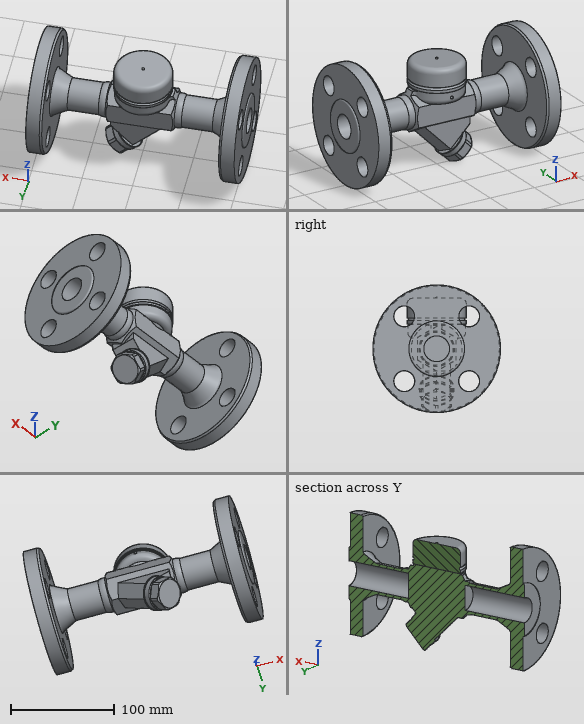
import cadquery as cq
import math


FACE_TO_FACE = 210
FLANGE_RADIUS = 124 / 2
FLANGE_THICKNESS = 15.7
FLANGE_EDGE_LENGTH = 2.2
FLANGE_EDGE_DROP = 1.2
RAISED_FACE_RADIUS = 25.4
RAISED_FACE_HEIGHT = 1.6
BOLT_HOLE_DIAMETER = 20
BOLT_COUNT = 4
BOLT_CIRCLE_RADIUS = 88.9 / 2
BORE_RADIUS = 25 / 2
PIPE_RADIUS = 32 / 2
HUB_START_X = 72
HUB_END_X = 85.6
HUB_END_RADIUS = 22.7
HUB_FILLET = 2
COLLAR_START_X = 41.2
COLLAR_PEAK_X = 37.9
COLLAR_PEAK_RADIUS = 17.2
COLLAR_END_RADIUS = 34 / 2

HEX_FLATS = 37.5
HEX_HALF_LENGTH = 34.2
CORNER_CHAMFER_ANGLE = 30

NECK_RADIUS = 56 / 2
NECK_TOP_Z = 23.6
NECK_FILLET_TOP_Z = 15.9
NECK_FILLET = 5.5
NECK_FLAT_RADIUS = 21
NECK_CONE_END_RADIUS = 15
LUG_HALF_WIDTH = 5.3
LUG_TOP_Z = 22.7
LUG_FILLET = 4
PIP_RADIUS = 3 / 2
NECK_PIP_Z = 17.8

COVER_RADIUS = 57.5 / 2
COVER_RIM_Z = 24.2
COVER_TOP_Z = 49
COVER_FILLET = 5.6
GROOVE_TOP_Z = 30
GROOVE_BOTTOM_Z = 27.2
GROOVE_DEPTH = 1.4
COVER_PIP_Z = 48.5

BRANCH_OFFSET = 17.7
BRANCH_FLATS = 26.5
BRANCH_START = -10
BRANCH_END = 36.2
WEB_END_X = 29.7
WASHER_RADIUS = 34 / 2
WASHER_END = 37.2
PLUG_COLLAR_RADIUS = 16.5
PLUG_COLLAR_END = 44.4
PLUG_COLLAR_CHAMFER = 1
PLUG_HEX_FLATS = 29
PLUG_HEX_RADIUS = 32 / 2
PLUG_TIP_RADIUS = 14
PLUG_CORNER_END = 54.04

BRANCH_OUTER_FACE = cq.DirectionMinMaxSelector(cq.Vector(1, 0, -1))
HALF_SQRT2 = math.sqrt(0.5)
CHAMFER_SLOPE = math.tan(math.radians(CORNER_CHAMFER_ANGLE))
VERTICES_PER_FLATS = 2 / math.sqrt(3)


def revolved_about_x(profile):
    return profile.close().revolve(360, (0, 0, 0), (1, 0, 0))


def revolved_about_z(profile):
    return profile.close().revolve(360, (0, 0, 0), (0, 1, 0))


def pipe_end():
    """Flange, hub, pipe and collar on the +X side, with a blind bore and bolt holes."""
    face_x = FACE_TO_FACE / 2
    front_x = face_x - RAISED_FACE_HEIGHT
    back_x = front_x - FLANGE_THICKNESS
    profile = (
        cq.Workplane("XY")
        .moveTo(0, 0)
        .lineTo(HEX_HALF_LENGTH, 0)
        .lineTo(HEX_HALF_LENGTH, COLLAR_END_RADIUS)
        .threePointArc((COLLAR_PEAK_X, COLLAR_PEAK_RADIUS), (COLLAR_START_X, PIPE_RADIUS))
        .lineTo(HUB_START_X, PIPE_RADIUS)
        .lineTo(HUB_END_X, HUB_END_RADIUS)
        .tangentArcPoint((back_x, HUB_END_RADIUS + HUB_FILLET), relative=False)
        .lineTo(back_x, FLANGE_RADIUS - FLANGE_EDGE_DROP)
        .lineTo(back_x + FLANGE_EDGE_LENGTH, FLANGE_RADIUS)
        .lineTo(front_x, FLANGE_RADIUS)
        .lineTo(front_x, RAISED_FACE_RADIUS + RAISED_FACE_HEIGHT)
        .radiusArc((face_x, RAISED_FACE_RADIUS), RAISED_FACE_HEIGHT)
        .lineTo(face_x, 0)
        .lineTo(0, 0)
    )
    bore = cq.Workplane("YZ", origin=(HEX_HALF_LENGTH, 0, 0)).circle(BORE_RADIUS).extrude(face_x)
    holes = (
        cq.Workplane("YZ", origin=(HUB_START_X, 0, 0))
        .polarArray(BOLT_CIRCLE_RADIUS, 180 / BOLT_COUNT, 360, BOLT_COUNT)
        .circle(BOLT_HOLE_DIAMETER / 2)
        .extrude(face_x)
    )
    return revolved_about_x(profile).cut(bore).cut(holes)


def lug():
    """Upright lug on the -X side, blended into the neck by a concave fillet on each side."""
    centre_y = LUG_HALF_WIDTH + LUG_FILLET
    centre_x = -math.sqrt((NECK_RADIUS + LUG_FILLET) ** 2 - centre_y**2)
    neck_share = NECK_RADIUS / (NECK_RADIUS + LUG_FILLET)
    neck_x = centre_x * neck_share
    neck_y = centre_y * neck_share
    return (
        cq.Workplane("XY")
        .moveTo(-HEX_HALF_LENGTH, -LUG_HALF_WIDTH)
        .lineTo(centre_x, -LUG_HALF_WIDTH)
        .tangentArcPoint((neck_x, -neck_y), relative=False)
        .lineTo(neck_x, neck_y)
        .radiusArc((centre_x, LUG_HALF_WIDTH), LUG_FILLET)
        .lineTo(-HEX_HALF_LENGTH, LUG_HALF_WIDTH)
        .close()
        .extrude(LUG_TOP_Z)
    )


def centre_block():
    """Hexagonal block along X with the lug, both ends trimmed by one cone."""
    block = (
        cq.Workplane(cq.Plane((-HEX_HALF_LENGTH, 0, 0), (0, 0, 1), (1, 0, 0)))
        .polygon(6, HEX_FLATS * VERTICES_PER_FLATS)
        .extrude(2 * HEX_HALF_LENGTH)
        .union(lug())
    )
    trim_radius = HEX_FLATS
    trim_x = HEX_HALF_LENGTH - (trim_radius - COLLAR_END_RADIUS) * CHAMFER_SLOPE
    trim = (
        cq.Workplane("XY")
        .moveTo(-HEX_HALF_LENGTH, 0)
        .lineTo(-HEX_HALF_LENGTH, COLLAR_END_RADIUS)
        .lineTo(-trim_x, trim_radius)
        .lineTo(trim_x, trim_radius)
        .lineTo(HEX_HALF_LENGTH, COLLAR_END_RADIUS)
        .lineTo(HEX_HALF_LENGTH, 0)
    )
    return block.intersect(revolved_about_x(trim))


def neck():
    """Round seat for the cover, rounded underneath and carried into the block by a 45 degree cone."""
    flat_z = NECK_FILLET_TOP_Z - NECK_FILLET
    cone_end_z = flat_z - (NECK_FLAT_RADIUS - NECK_CONE_END_RADIUS)
    profile = (
        cq.Workplane("XZ")
        .moveTo(0, NECK_TOP_Z)
        .lineTo(NECK_RADIUS, NECK_TOP_Z)
        .lineTo(NECK_RADIUS, NECK_FILLET_TOP_Z)
        .tangentArcPoint((NECK_RADIUS - NECK_FILLET, flat_z), relative=False)
        .lineTo(NECK_FLAT_RADIUS, flat_z)
        .lineTo(NECK_CONE_END_RADIUS, cone_end_z)
        .lineTo(0, cone_end_z)
    )
    pip = cq.Workplane("XY").sphere(PIP_RADIUS).translate((0, -NECK_RADIUS, NECK_PIP_Z))
    return revolved_about_z(profile).union(pip)


def branch_axis_point(distance):
    """X and Z of the point this far along the branch axis."""
    return (distance - BRANCH_OFFSET) * HALF_SQRT2, (-distance - BRANCH_OFFSET) * HALF_SQRT2


def branch_plane(distance):
    """Plane square to the branch axis, with its x axis in the XZ plane."""
    x, z = branch_axis_point(distance)
    return cq.Workplane(cq.Plane((x, 0, z), (1, 0, 1), (1, 0, -1)))


def branch():
    """Hexagonal branch joined to the centre block by a flat-sided web."""
    prism = (
        branch_plane(BRANCH_START)
        .polygon(6, BRANCH_FLATS * VERTICES_PER_FLATS)
        .extrude(BRANCH_END - BRANCH_START)
    )
    web_end_z = WEB_END_X - BRANCH_END / HALF_SQRT2
    web = (
        cq.Workplane("XZ")
        .moveTo(*branch_axis_point(BRANCH_START))
        .lineTo(*branch_axis_point(BRANCH_END))
        .lineTo(WEB_END_X, web_end_z)
        .lineTo(WEB_END_X, 0)
        .close()
        .extrude(BRANCH_FLATS / 2, both=True)
    )
    return prism.union(web)


def plug():
    """Strainer plug: washer, round collar and hexagon head with rounded corners."""
    washer = branch_plane(BRANCH_END).circle(WASHER_RADIUS).extrude(WASHER_END - BRANCH_END)
    collar = (
        branch_plane(WASHER_END)
        .circle(PLUG_COLLAR_RADIUS)
        .extrude(PLUG_COLLAR_END - WASHER_END)
        .faces(BRANCH_OUTER_FACE)
        .chamfer(PLUG_COLLAR_CHAMFER)
    )
    tip_length = (PLUG_HEX_RADIUS - PLUG_TIP_RADIUS) * CHAMFER_SLOPE
    head_length = PLUG_CORNER_END + tip_length - PLUG_COLLAR_END
    head = branch_plane(PLUG_COLLAR_END).polygon(6, PLUG_HEX_FLATS * VERTICES_PER_FLATS).extrude(head_length)
    head_trim = (
        branch_plane(PLUG_COLLAR_END)
        .circle(PLUG_HEX_RADIUS)
        .extrude(head_length)
        .faces(BRANCH_OUTER_FACE)
        .chamfer(tip_length, PLUG_HEX_RADIUS - PLUG_TIP_RADIUS)
    )
    return washer.union(collar).union(head.intersect(head_trim))


def make_body():
    end = pipe_end()
    return (
        centre_block()
        .union(neck())
        .union(branch())
        .union(plug())
        .union(end)
        .union(end.mirror("YZ"))
    )


def make_cover():
    """Round cover resting on the neck, with a groove above its lower rim."""
    groove_mid_z = (GROOVE_TOP_Z + GROOVE_BOTTOM_Z) / 2
    profile = (
        cq.Workplane("XZ")
        .moveTo(0, NECK_TOP_Z)
        .lineTo(NECK_RADIUS, NECK_TOP_Z)
        .lineTo(COVER_RADIUS, COVER_RIM_Z)
        .lineTo(COVER_RADIUS, GROOVE_BOTTOM_Z)
        .threePointArc((COVER_RADIUS - GROOVE_DEPTH, groove_mid_z), (COVER_RADIUS, GROOVE_TOP_Z))
        .lineTo(COVER_RADIUS, COVER_TOP_Z - COVER_FILLET)
        .tangentArcPoint((COVER_RADIUS - COVER_FILLET, COVER_TOP_Z), relative=False)
        .lineTo(0, COVER_TOP_Z)
    )
    pip = cq.Workplane("XY").sphere(PIP_RADIUS).translate((0, 0, COVER_PIP_Z))
    return revolved_about_z(profile).union(pip)


body = make_body()
cover = make_cover()

result = cq.Compound.makeCompound([body.solids().val(), cover.solids().val()])